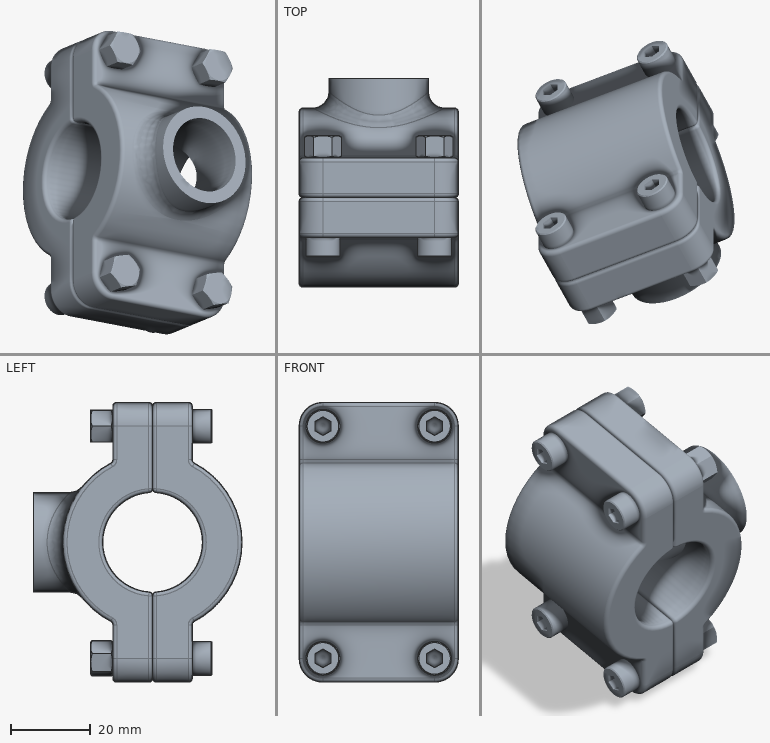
import cadquery as cq
import math

CLAMP_LENGTH = 40.0
CLAMP_HEIGHT = 70.3
BARREL_RADIUS = 22.5
FLANGE_THICKNESS = 10.0
BORE_DIAMETER = 25.0
FLANGE_CORNER_RADIUS = 6.0
EDGE_RADIUS = 1.0

BRANCH_DIAMETER = BORE_DIAMETER
BRANCH_BORE_DIAMETER = 19.0
BRANCH_END = 29.95
BRANCH_FILLET = 4.0

SCREW_X = CLAMP_LENGTH / 2 - FLANGE_CORNER_RADIUS
SCREW_Z = CLAMP_HEIGHT / 2 - FLANGE_CORNER_RADIUS
SCREW_POSITIONS = [(x, z) for x in (-SCREW_X, SCREW_X) for z in (-SCREW_Z, SCREW_Z)]
SHANK_DIAMETER = 5.0
HEAD_DIAMETER = 8.5
HEAD_HEIGHT = 5.0
HEAD_CHAMFER = 0.3
SOCKET_WIDTH = 4.0
SOCKET_DEPTH = 2.5
SOCKET_TIP_ANGLE = 118.0

NUT_WIDTH = 8.0
NUT_FACE_DIAMETER = 7.8
NUT_HEIGHT = 5.6
NUT_BEVEL_ANGLE = 30.0
UPPER_NUT_TURN = 0.0
LOWER_NUT_TURN = 15.0

CORNER_PER_FLAT = 1 / math.cos(math.radians(30))


def along_y(start_y, x=0.0, z=0.0):
    """Workplane at (x, start_y, z) that extrudes toward +Y."""
    plane = cq.Plane(origin=(x, start_y, z), xDir=(1, 0, 0), normal=(0, 1, 0))
    return cq.Workplane(plane)


def cylinder_y(diameter, start_y, end_y, x=0.0, z=0.0):
    return along_y(start_y, x, z).circle(diameter / 2).extrude(end_y - start_y)


def make_half_blank():
    """Rear clamp half (Y >= 0) with rounded edges, before its screw holes."""
    barrel = cq.Workplane("YZ").circle(BARREL_RADIUS).extrude(CLAMP_LENGTH / 2, both=True)
    rear_space = cq.Workplane("XY").box(
        CLAMP_LENGTH, BARREL_RADIUS, CLAMP_HEIGHT, centered=(True, False, True)
    )
    flange = (
        cq.Workplane("XY")
        .box(CLAMP_LENGTH, FLANGE_THICKNESS, CLAMP_HEIGHT, centered=(True, False, True))
        .edges("|Y")
        .fillet(FLANGE_CORNER_RADIUS)
    )
    blank = barrel.intersect(rear_space).union(flange)

    root_z = math.sqrt(BARREL_RADIUS**2 - FLANGE_THICKNESS**2)
    for z in (root_z, -root_z):
        root = cq.selectors.NearestToPointSelector((0, FLANGE_THICKNESS, z))
        blank = blank.edges("|X").edges(root).fillet(EDGE_RADIUS)

    bore = cq.Workplane("YZ").circle(BORE_DIAMETER / 2).extrude(CLAMP_LENGTH / 2, both=True)
    blank = blank.cut(bore)

    curved_and_upright_rims = "(not (|X or |Y))"
    lengthwise_rims = "(|X and (<Y or >Z or <Z))"
    return blank.edges(f"{curved_and_upright_rims} or {lengthwise_rims}").fillet(EDGE_RADIUS)


def cut_screw_holes(half):
    for x, z in SCREW_POSITIONS:
        half = half.cut(cylinder_y(SHANK_DIAMETER, -FLANGE_THICKNESS, FLANGE_THICKNESS, x, z))
    return half


def make_front_half(blank):
    """Plain half, on the side of the screw heads."""
    return cut_screw_holes(blank.mirror("XZ"))


def make_rear_half(blank):
    """Half with the branch pipe, on the side of the nuts."""
    mid_wall = (BORE_DIAMETER / 2 + BARREL_RADIUS) / 2
    half = blank.union(cylinder_y(BRANCH_DIAMETER, mid_wall, BRANCH_END))
    branch_root_y = math.sqrt(BARREL_RADIUS**2 - (BRANCH_DIAMETER / 2) ** 2)
    branch_root = cq.selectors.NearestToPointSelector((0, (branch_root_y + BARREL_RADIUS) / 2, 0))
    half = half.edges(branch_root).fillet(BRANCH_FILLET)
    half = half.cut(cylinder_y(BRANCH_BORE_DIAMETER, 0, BRANCH_END))
    return cut_screw_holes(half)


def make_screw(x, z):
    """Socket head screw with its head on the front flange and its tip flush with the nut."""
    head_top = -FLANGE_THICKNESS - HEAD_HEIGHT
    tip = FLANGE_THICKNESS + NUT_HEIGHT
    head = cylinder_y(HEAD_DIAMETER, head_top, -FLANGE_THICKNESS, x, z)
    head = head.faces("<Y").edges().chamfer(HEAD_CHAMFER)
    screw = head.union(cylinder_y(SHANK_DIAMETER, -FLANGE_THICKNESS, tip, x, z))

    socket_radius = SOCKET_WIDTH * CORNER_PER_FLAT / 2
    cone_depth = socket_radius / math.tan(math.radians(SOCKET_TIP_ANGLE / 2))
    hexagon = (
        along_y(head_top, x, z)
        .transformed(rotate=(0, 0, 90))
        .polygon(6, 2 * socket_radius)
        .extrude(SOCKET_DEPTH + cone_depth)
    )
    drill = cq.Solid.makeCone(
        socket_radius, 0, cone_depth, cq.Vector(x, head_top + SOCKET_DEPTH, z), cq.Vector(0, 1, 0)
    )
    drill_shaft = cylinder_y(2 * socket_radius, head_top, head_top + SOCKET_DEPTH, x, z)
    return screw.cut(hexagon.intersect(drill_shaft.union(cq.Workplane(drill))))


def make_nut(x, z, turn):
    """Hexagon nut on the rear flange, turned about its axis from corners toward +X and -X."""
    corner_diameter = NUT_WIDTH * CORNER_PER_FLAT
    bevel_width = (corner_diameter - NUT_FACE_DIAMETER) / 2
    bevel_height = bevel_width * math.tan(math.radians(NUT_BEVEL_ANGLE))
    hexagon = (
        along_y(FLANGE_THICKNESS, x, z)
        .transformed(rotate=(0, 0, turn))
        .polygon(6, corner_diameter)
        .extrude(NUT_HEIGHT)
    )
    nut_end = FLANGE_THICKNESS + NUT_HEIGHT
    envelope = cylinder_y(corner_diameter, FLANGE_THICKNESS, nut_end, x, z)
    envelope = envelope.faces("<Y or >Y").chamfer(bevel_height, bevel_width)
    thread_hole = cylinder_y(SHANK_DIAMETER, FLANGE_THICKNESS, nut_end, x, z)
    return hexagon.intersect(envelope).cut(thread_hole)


half_blank = make_half_blank()
front_half = make_front_half(half_blank)
rear_half = make_rear_half(half_blank)

screws = []
nuts = []
for screw_x, screw_z in SCREW_POSITIONS:
    nut_turn = UPPER_NUT_TURN if screw_z > 0 else LOWER_NUT_TURN
    screws.append(make_screw(screw_x, screw_z).val())
    nuts.append(make_nut(screw_x, screw_z, nut_turn).val())

result = cq.Compound.makeCompound([front_half.val(), rear_half.val(), *screws, *nuts])